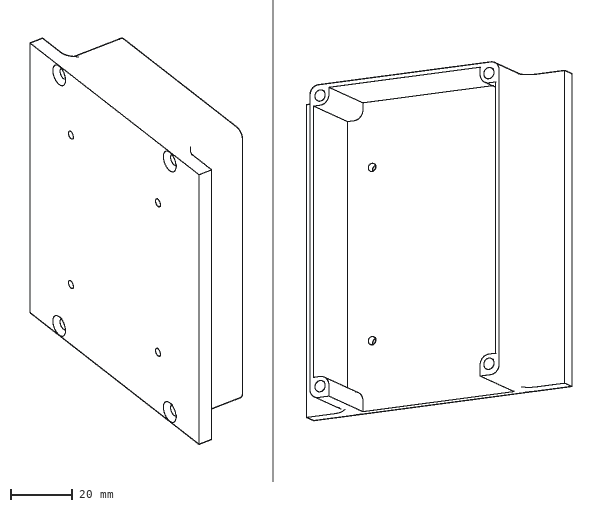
import cadquery as cq

plate_width = 95.4
total_depth = 26.4
height = 105.0

plate_thickness = 5.0
box_width = 69.9
box_corner_radius = 3.2
base_fillet_radius = 3.2

front_skin = 3.0
wall = 1.4

mount_hole_diameter = 3.8
countersink_diameter = 7.1
countersink_angle = 90.0
mount_spacing_x = 62.4
mount_spacing_z = 97.5

boss_radius = 3.3
boss_width = (box_width - mount_spacing_x) / 2 + boss_radius
boss_height = (height - mount_spacing_z) / 2 + boss_radius

small_hole_diameter = 2.7
small_spacing_x = 49.1
small_spacing_z = 58.2


def block(width, block_height, y_start, y_end):
    """Block centred on X and Z, running from y_start to y_end."""
    depth = y_end - y_start
    return cq.Workplane("XY").box(width, depth, block_height).translate((0, y_start + depth / 2, 0))


def front_hole_grid(body, spacing_x, spacing_z):
    """Four hole centres on the front face, one in each quadrant."""
    front_plane = cq.Workplane("XZ")
    return body.copyWorkplane(front_plane).rarray(spacing_x, spacing_z, 2, 2)


def make_shell():
    """Plate with a round-cornered box, blended where the box meets the plate."""
    selection_margin = 0.1
    blend_margin = 2 * base_fillet_radius
    tall_plate = block(plate_width, height + 2 * blend_margin, 0, plate_thickness)
    box = block(box_width, height, 0, total_depth).edges("|Y").fillet(box_corner_radius)
    blended = tall_plate.union(box)
    half_width = box_width / 2 + selection_margin
    half_height = height / 2 + selection_margin
    junction = cq.selectors.BoxSelector(
        (-half_width, plate_thickness - selection_margin, -half_height),
        (half_width, plate_thickness + selection_margin, half_height),
    )
    blended = blended.edges(junction).fillet(base_fillet_radius)
    return blended.intersect(block(plate_width, height, 0, total_depth))


def make_boss(side, end):
    """Full-depth block in one corner of the box, rounded on its inner corner only."""
    center_x = side * (box_width - boss_width) / 2
    center_z = end * (height - boss_height) / 2
    boss = block(boss_width, boss_height, 0, total_depth).translate((center_x, 0, center_z))
    inner_edge = cq.selectors.NearestToPointSelector((0, total_depth / 2, 0))
    return boss.edges("|Y").edges(inner_edge).fillet(boss_radius)


def cut_cavity(body):
    """Hollow the box through its back and lower end, keeping a boss in each corner."""
    cavity = block(box_width - 2 * wall, height, front_skin, total_depth).translate((0, 0, -wall))
    for side in (-1, 1):
        for end in (-1, 1):
            cavity = cavity.cut(make_boss(side, end))
    return body.cut(cavity)


def cut_holes(body):
    """Countersunk mounting holes and small plain holes, all from the front face."""
    body = front_hole_grid(body, mount_spacing_x, mount_spacing_z).cskHole(
        mount_hole_diameter, countersink_diameter, countersink_angle
    )
    return front_hole_grid(body, small_spacing_x, small_spacing_z).hole(small_hole_diameter)


result = cut_holes(cut_cavity(make_shell()))